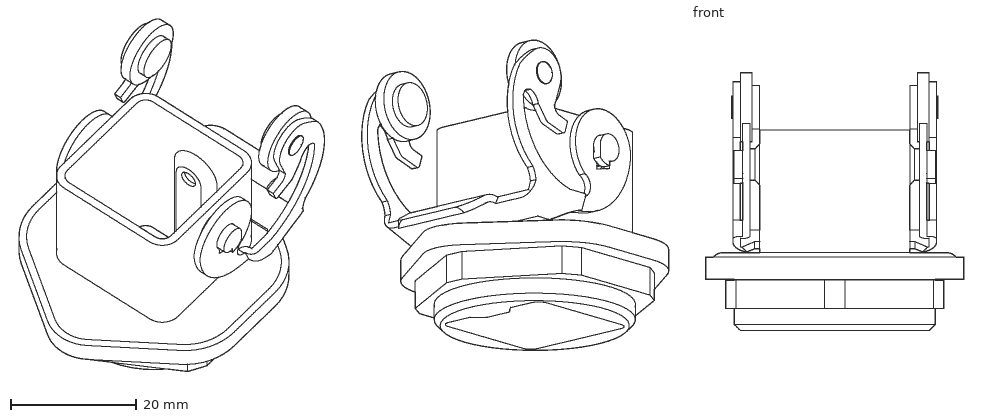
import cadquery as cq
import math

neck_top = 3.5
nut_top = 8.05
flange_bottom = 8.15
flange_top = 11.7
pad_top = 12.4
cup_top = 32.0

neck_radius = 16.05
neck_chamfer = 0.95
nut_flats = 34.85
nut_corner_flats = 38.35
flange_width = 41.2
flange_apex = 24.9
flange_slope = 35.0
flange_side_radius = 10.05
flange_apex_radius = 7.05
pad_inset = 0.85
pad_edge_radius = 1.8
cup_side = 23.95
cup_corner_radius = 3.2
cup_wall = 1.35

boss_z = 20.95
boss_base_radius = 4.35
boss_tip_radius = 2.5
boss_hole_radius = 1.4
boss_hole_depth = 0.75

sheet = 1.2
arm_outside = 16.25
disc_outside = 14.7
bend_radius = 2.6
jog_radius = 1.4
disc_radius = 6.55
web_tilt = 20.0
web_rear_y = 18.5
web_rear_z = 14.9
web_length = 5.45
web_end_half_width = 12.75
web_flare_length = 8.25
jog_end = 11.85

roller_y = 15.75
roller_z = 35.6
roller_radius = 5.55
roller_inside = 13.2
rivet_inside = 12.0
rivet_radius = 3.5
rivet_end_radius = 1.8
rivet_end = 16.45
head_radius = 4.08

tongue_fall = 29.0
tongue_bend_radius = 3.4
tongue_tip_y = 25.2
tongue_root_half_width = 8.35
tongue_tip_half_width = 7.75
tongue_corner_radius = 2.5
tongue_root_fillet = 0.6

pivot_z = 26.5
pin_radius = 2.25
pin_end = 16.1
pin_clearance = 0.05
shoulder_radius = 2.5
shoulder_base_radius = 3.3
shoulder_cone_height = 0.75
key_radius = 3.0

overlap = 0.5
boss_depth = boss_base_radius - boss_tip_radius
cup_half = cup_side / 2
bore_side = cup_side - 2 * cup_wall
bore_half = bore_side / 2
arm_inside = arm_outside - sheet
disc_inside = disc_outside - sheet
cos_tilt = math.cos(math.radians(web_tilt))
sin_tilt = math.sin(math.radians(web_tilt))
web_direction = cq.Vector(0, -cos_tilt, -sin_tilt)
web_normal = cq.Vector(0, -sin_tilt, cos_tilt)
web_origin = cq.Vector(0, web_rear_y, web_rear_z)


def x_cylinder(radius, start, end, y, z):
    """Cylinder along X between two X positions."""
    return (cq.Workplane("YZ", origin=(start, 0, 0)).center(y, z)
            .circle(radius).extrude(end - start))


def both_sides(shape):
    """The shape together with its mirror image across the middle plane."""
    return shape.union(shape.mirror("YZ"))


def flange_block(bottom, height):
    """Six-sided flange with rounded corners."""
    half = flange_width / 2
    shoulder = flange_apex - half * math.tan(math.radians(flange_slope))
    points = [(0, flange_apex), (half, shoulder), (half, -shoulder),
              (0, -flange_apex), (-half, -shoulder), (-half, shoulder)]
    block = cq.Workplane("XY").workplane(offset=bottom).polyline(points).close().extrude(height)
    block = block.edges("|Z and (>Y or <Y)").fillet(flange_apex_radius)
    return block.edges("|Z and (>X or <X)").fillet(flange_side_radius)


def raised_pad():
    """Inset pad on the flange with a rounded rim, sunk into the flange."""
    height = pad_edge_radius + overlap
    outline = flange_block(pad_top - height, height).faces(">Z").wires()
    pad = outline.toPending().offset2D(-pad_inset).extrude(-height, combine=False)
    return pad.faces(">Z").edges().fillet(pad_edge_radius)


def nut():
    """Hexagon with flats facing +X and -X and with trimmed corners."""
    height = nut_top - neck_top
    base = cq.Workplane("XY").workplane(offset=neck_top)
    corner = 1 / math.cos(math.radians(30))
    trim = base.polygon(6, nut_corner_flats * corner).extrude(height)
    main = base.polygon(6, nut_flats * corner).extrude(height)
    return main.rotate((0, 0, 0), (0, 0, 1), 30).intersect(trim)


def boss():
    """Tapered screw boss whose straight sides run down to the lower end."""
    rear = bore_half
    tip = rear - boss_depth
    cone = cq.Workplane("XY").polyline(
        [(0, rear), (boss_base_radius, rear), (boss_tip_radius, tip), (0, tip)]
    ).close().revolve(360, (0, 0, 0), (0, 1, 0)).translate((0, 0, boss_z))
    skirt = cq.Workplane("XY").polyline(
        [(-boss_base_radius, rear), (boss_base_radius, rear),
         (boss_tip_radius, tip), (-boss_tip_radius, tip)]
    ).close().extrude(boss_z)
    hole = (cq.Workplane("XZ", origin=(0, tip, boss_z))
            .circle(boss_hole_radius).extrude(-boss_hole_depth))
    return cone.union(skirt).cut(hole)


def pivot_pin():
    """Pin on the +X side: conical foot, shoulder, pin and retaining key."""
    cone_top = cup_half + shoulder_cone_height
    pin = (cq.Workplane("XY").polyline(
        [(cup_half - overlap, 0), (cup_half - overlap, shoulder_base_radius),
         (cup_half, shoulder_base_radius),
         (cone_top, shoulder_radius), (disc_inside, shoulder_radius),
         (disc_inside, pin_radius), (pin_end, pin_radius), (pin_end, 0)])
        .close().revolve(360, (0, 0, 0), (1, 0, 0)).translate((0, 0, pivot_z)))
    key_length = pin_end - disc_outside
    key_sector = x_cylinder(key_radius, disc_outside, pin_end, 0, pivot_z)
    key_window = cq.Workplane("XY").box(key_length, pin_radius, key_radius, centered=(False, False, False))
    key_window = key_window.translate((disc_outside, 0, pivot_z - key_radius))
    return pin.union(key_sector.intersect(key_window))


def make_housing():
    neck = (cq.Workplane("XY").circle(neck_radius).extrude(flange_bottom)
            .faces("<Z").edges().chamfer(neck_chamfer))
    cup = (cq.Workplane("XY").workplane(offset=flange_bottom)
           .rect(cup_side, cup_side).extrude(cup_top - flange_bottom)
           .edges("|Z").fillet(cup_corner_radius))
    bore = (cq.Workplane("XY").rect(bore_side, bore_side).extrude(cup_top)
            .edges("|Z").fillet(cup_corner_radius - cup_wall))
    body = flange_block(flange_bottom, flange_top - flange_bottom)
    body = body.union(raised_pad()).union(neck).union(nut()).union(cup)
    return body.cut(bore).union(boss()).union(both_sides(pivot_pin()))


def arm_outline():
    """Side outline (Y, Z) of both arms with their hooks, as one block across X."""
    return (cq.Workplane("YZ", origin=(-arm_outside, 0, 0))
            .moveTo(11.95, 34.45)
            .threePointArc((roller_y, roller_z + head_radius), (17.85, 39.1))
            .threePointArc((19.65, 37.8), (21.5, 36.0))
            .threePointArc((23.2, 30.05), (18.4, 19.65))
            .threePointArc((17.9, 18.7), (17.65, 17.55))
            .lineTo(web_rear_y, web_rear_z)
            .lineTo(11.95, 12.5)
            .threePointArc((8.55, 14.2), (3.9, 15.4))
            .lineTo(3.9, 17.6)
            .lineTo(9.55, 17.6)
            .threePointArc((16.9, 21.7), (20.65, 30.45))
            .threePointArc((20.2, 31.85), (18.9, 32.25))
            .threePointArc((17.9, 31.65), (17.1, 30.3))
            .lineTo(15.5, 28.25)
            .threePointArc((14.95, 27.7), (14.25, 27.45))
            .lineTo(11.45, 26.65)
            .threePointArc((10.95, 26.7), (10.67, 27.15))
            .lineTo(10.15, 28.7)
            .lineTo(12.2, 29.35)
            .threePointArc((12.95, 29.95), (13.2, 30.8))
            .close().extrude(2 * arm_outside))


def folded_sheet():
    """Tilted channel of two arms and the web between them, with the inward jogs."""
    reach = 29.1
    jog_height = 9.7
    section = cq.Plane(web_origin - web_direction * reach, (1, 0, 0), web_direction)
    jog_start = jog_end - jog_radius

    def trough(half_width, floor):
        """Solid filling of the channel down to a floor height."""
        return (cq.Workplane(section).center(0, floor + reach / 2)
                .rect(2 * half_width, reach).extrude(reach + jog_start))

    outside = trough(arm_outside, 0)
    lower_face = outside.faces(cq.selectors.DirectionMinMaxSelector(web_normal, False))
    outside = lower_face.edges(cq.selectors.ParallelDirSelector(web_direction)).fillet(bend_radius)
    channel = outside.cut(trough(arm_inside, sheet))

    plan = cq.Plane(web_origin, web_direction, web_normal)
    web_end = (cq.Workplane(plan).polyline(
        [(web_length, -web_end_half_width), (web_length, web_end_half_width),
         (web_flare_length, arm_inside), (reach, arm_inside),
         (reach, -arm_inside), (web_flare_length, -arm_inside)])
        .close().extrude(sheet))
    channel = channel.cut(web_end)

    near = jog_end - sheet
    quarter = jog_radius * (1 - math.sqrt(0.5))
    jog = (cq.Workplane(plan).moveTo(jog_start - overlap, arm_outside)
           .lineTo(jog_start, arm_outside)
           .threePointArc((jog_end - quarter, arm_outside - quarter), (jog_end, arm_outside - jog_radius))
           .lineTo(jog_end, disc_outside)
           .lineTo(jog_end + jog_radius, disc_outside)
           .lineTo(jog_end + jog_radius, disc_inside)
           .lineTo(near + jog_radius, disc_inside)
           .threePointArc((near + quarter, disc_inside + quarter), (near, disc_inside + jog_radius))
           .lineTo(near, arm_inside)
           .lineTo(jog_start - overlap, arm_inside)
           .close().extrude(jog_height))
    return channel.union(both_sides(jog)).intersect(arm_outline())


def pivot_disc():
    """Flat pivot plate on the +X side, with a keyed hole for the pin."""
    plate = (cq.Workplane("YZ", origin=(disc_inside, 0, 0))
             .moveTo(-disc_radius, pivot_z)
             .threePointArc((0, pivot_z + disc_radius), (disc_radius, pivot_z))
             .threePointArc((5.85, 23.6), (4.3, 21.55))
             .threePointArc((3.0, 19.8), (4.65, 17.65))
             .lineTo(5.65, 15.1)
             .lineTo(3.75, 15.4)
             .threePointArc((-3.55, 19.35), (-disc_radius, pivot_z))
             .close().extrude(sheet))
    hole = x_cylinder(pin_radius + pin_clearance, disc_inside, disc_outside, 0, pivot_z)
    key_slot = (cq.Workplane("YZ", origin=(disc_inside, 0, pivot_z))
                .polyline([(1.45, 0), (1.45, -3.6), (-1.5, -2.9), (-1.75, -1.4)]).close().extrude(sheet))
    return plate.cut(hole).cut(key_slot)


def roller():
    """Roller on the inner face of the +X arm, with both rivet ends."""
    wheel = x_cylinder(roller_radius, roller_inside, arm_inside, roller_y, roller_z)
    rivet_head = x_cylinder(rivet_radius, rivet_inside, roller_inside, roller_y, roller_z)
    rivet = x_cylinder(rivet_end_radius, roller_inside, rivet_end, roller_y, roller_z)
    return wheel.union(rivet_head).union(rivet)


def tongue():
    """Curved thumb tongue behind the web."""
    inner_radius = tongue_bend_radius - sheet
    fall = math.radians(tongue_fall)
    tilt = math.radians(web_tilt)
    centre_y = web_rear_y + inner_radius * sin_tilt
    centre_z = web_rear_z - inner_radius * cos_tilt

    def on_arc(radius, angle):
        """Point of the bend at an angle from vertical, positive toward the rear."""
        return centre_y + radius * math.sin(angle), centre_z + radius * math.cos(angle)

    middle = (fall - tilt) / 2
    top = on_arc(tongue_bend_radius, fall)
    bottom = on_arc(inner_radius, fall)
    run_y = tongue_tip_y - top[0]
    run_z = -run_y * math.tan(fall)
    section = (cq.Workplane("YZ", origin=(-cup_half, 0, 0))
               .moveTo(*on_arc(inner_radius, -tilt))
               .lineTo(*on_arc(tongue_bend_radius, -tilt))
               .threePointArc(on_arc(tongue_bend_radius, middle), top)
               .lineTo(top[0] + run_y, top[1] + run_z)
               .lineTo(bottom[0] + run_y, bottom[1] + run_z)
               .lineTo(*bottom)
               .threePointArc(on_arc(inner_radius, middle), on_arc(inner_radius, -tilt))
               .close().extrude(cup_side))
    root_y = web_rear_y - sheet * sin_tilt
    plan = (cq.Workplane("XY").polyline(
        [(-cup_half, root_y - sheet), (cup_half, root_y - sheet), (cup_half, root_y),
         (tongue_root_half_width, root_y), (tongue_tip_half_width, tongue_tip_y),
         (-tongue_tip_half_width, tongue_tip_y), (-tongue_root_half_width, root_y), (-cup_half, root_y)])
        .close().extrude(cup_top))
    plan = plan.edges("|Z and >Y").fillet(tongue_corner_radius)
    for side in (-1, 1):
        root = cq.selectors.NearestToPointSelector((side * tongue_root_half_width, root_y, cup_top / 2))
        plan = plan.edges("|Z").edges(root).fillet(tongue_root_fillet)
    return section.intersect(plan)


def make_lever():
    return (folded_sheet().union(both_sides(pivot_disc()))
            .union(both_sides(roller())).union(tongue()))


housing = make_housing()
lever = make_lever()
result = cq.Compound.makeCompound([housing.val(), lever.val()])